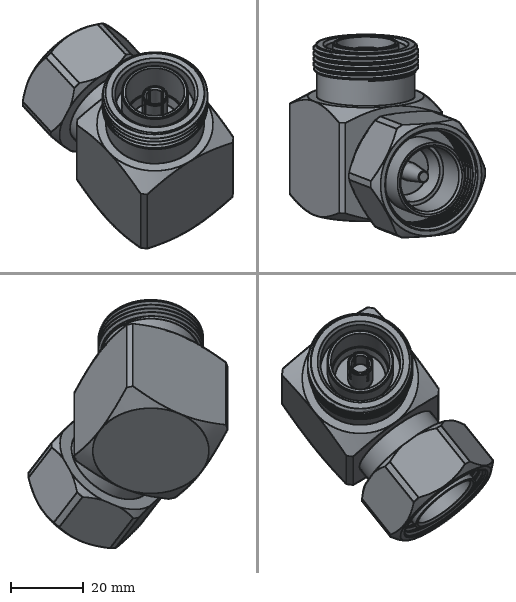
import cadquery as cq
import math


block_size = 32.0
block_half = block_size / 2
block_bottom = -15.5
block_top = block_bottom + block_size
block_edge_chamfer = 1.3
block_end_radius = block_half
block_end_angle = 30.0

thread_pitch = 1.5
thread_major_radius = 14.5
thread_minor_radius = 13.55
thread_base_width = 1.2
thread_crest_width = 0.15
thread_overlap = 0.1
thread_end_step = 0.05
thread_run_in = 1.2
thread_run_turns = 7

socket_top = 31.485
shell_top = 31.1
shell_thread_bottom = 23.45
shell_bore_radius = 11.0
shell_mouth_radius = 11.8
socket_floor = 23.2
sleeve_radius = 9.12
sleeve_edge_chamfer = 0.3
sleeve_bore_radius = 8.1
socket_step_depth = 11.5
socket_cone_radius = 7.75
cone_floor_radius = 6.95
socket_cone_depth = 3.0
contact_radius = 3.45
contact_bore_radius = 2.45
contact_mouth_radius = 3.05
contact_mouth_depth = 0.4
contact_recess = 1.9
contact_bore_depth = 8.0
contact_slot_width = 0.55
contact_slot_depth = 7.0

nut_face = -38.86
nut_length = 16.5
nut_back = nut_face + nut_length
nut_across_flats = 31.75
nut_corner_radius = 17.79
nut_front_radius = 15.7
nut_front_bevel = 1.78
nut_back_radius = 16.1
nut_back_bevel = 1.68
nut_bore_radius = 13.5
nut_mouth_radius = 14.35
nut_bore_depth = 9.05
nut_thread_length = 8.5
nut_thread_start_angle = 40.0
collar_radius = 12.5

plug_recess = 0.1
plug_radius = 10.38
plug_mouth_radius = 9.71
plug_bore_radius = 9.07
plug_mouth_depth = 0.65
plug_step_depth = 10.0
plug_cone_radius = 7.97
plug_cone_depth = 5.0
pin_radius = 2.55
pin_tip_radius = 1.57
pin_tip_chamfer = 0.17
pin_recess = 4.4
pin_taper_length = 8.0


def turned(points):
    """Solid of revolution about Z from (radius, z) points."""
    return cq.Workplane("XZ").polyline(points).close().revolve(360, (0, 0), (0, 1))


def cylinder(radius, bottom, top):
    """Cylinder on the Z axis between two heights."""
    return cq.Workplane("XY").workplane(offset=bottom).circle(radius).extrude(top - bottom)


def to_plug_axis(shape):
    """Turn a shape built upward along Z so it points outward along -X."""
    return shape.rotate((0, 0, 0), (0, 1, 0), -90)


def helical_thread(base_radius, tip_radius, bottom, length):
    """Right-handed helical bar whose profile narrows from base_radius to tip_radius."""
    half_base = thread_base_width / 2
    half_crest = thread_crest_width / 2
    helix = cq.Wire.makeHelix(thread_pitch, length, thread_minor_radius)
    bar = (
        cq.Workplane("XZ")
        .polyline([
            (base_radius, -half_base),
            (tip_radius, -half_crest),
            (tip_radius, half_crest),
            (base_radius, half_base),
        ])
        .close()
        .sweep(cq.Workplane(helix), isFrenet=True)
    )
    return bar.translate((0, 0, bottom))


def body_block():
    """Block with chamfered upright edges and conically turned top and bottom corners."""
    block = (
        cq.Workplane("XY")
        .workplane(offset=block_bottom)
        .rect(block_size, block_size)
        .extrude(block_size)
        .edges("|Z")
        .chamfer(block_edge_chamfer)
    )
    outer_radius = block_half * math.sqrt(2)
    drop = (outer_radius - block_end_radius) * math.tan(math.radians(block_end_angle))
    envelope = turned([
        (0, block_bottom),
        (block_end_radius, block_bottom),
        (outer_radius, block_bottom + drop),
        (outer_radius, block_top - drop),
        (block_end_radius, block_top),
        (0, block_top),
    ])
    return block.intersect(envelope)


def socket_shell():
    """Neck with the external thread, bored out down to the annular floor."""
    chamfer_start = thread_minor_radius + thread_end_step
    chamfer_outer = thread_major_radius + thread_end_step
    height = chamfer_outer - chamfer_start
    neck = cylinder(thread_minor_radius, block_top, shell_top)
    ridge = helical_thread(
        thread_minor_radius - thread_overlap,
        thread_major_radius,
        shell_thread_bottom - thread_run_in,
        thread_run_turns * thread_pitch,
    )
    envelope = turned([
        (0, shell_thread_bottom),
        (chamfer_start, shell_thread_bottom),
        (chamfer_outer, shell_thread_bottom + height),
        (chamfer_outer, shell_top - height),
        (chamfer_start, shell_top),
        (0, shell_top),
    ])
    mouth_depth = shell_mouth_radius - shell_bore_radius
    bore = turned([
        (0, socket_floor),
        (shell_bore_radius, socket_floor),
        (shell_bore_radius, shell_top - mouth_depth),
        (shell_mouth_radius, shell_top),
        (0, shell_top),
    ])
    return neck.union(ridge.intersect(envelope)).cut(bore)


def socket_sleeve():
    """Inner sleeve standing on the annular floor."""
    return cylinder(sleeve_radius, block_top, socket_top).faces(">Z").chamfer(sleeve_edge_chamfer)


def socket_cavity():
    """Hollow of the inner sleeve: straight bore, narrow step, then a taper to the floor."""
    step = socket_top - socket_step_depth
    floor = step - socket_cone_depth
    return turned([
        (0, floor),
        (cone_floor_radius, floor),
        (socket_cone_radius, step),
        (sleeve_bore_radius, step),
        (sleeve_bore_radius, socket_top),
        (0, socket_top),
    ])


def socket_contact():
    """Slotted tubular centre contact."""
    top = socket_top - contact_recess
    contact = cylinder(contact_radius, block_top, top)
    contact = (
        contact.faces(">Z").workplane()
        .circle(contact_bore_radius).cutBlind(-contact_bore_depth)
    )
    mouth = turned([
        (0, top - contact_mouth_depth),
        (contact_bore_radius, top - contact_mouth_depth),
        (contact_mouth_radius, top),
        (0, top),
    ])
    contact = contact.cut(mouth)
    for angle in (0, 90):
        slot = (
            cq.Workplane("XY")
            .workplane(offset=top - contact_slot_depth)
            .rect(2 * contact_radius, contact_slot_width)
            .extrude(contact_slot_depth)
            .rotate((0, 0, 0), (0, 0, 1), angle)
        )
        contact = contact.cut(slot)
    return contact


def hex_nut():
    """Hex nut with bevelled ends, trimmed corners and a threaded cavity."""
    front = -nut_face
    back = -nut_back
    hexagon = (
        cq.Workplane("XY")
        .workplane(offset=back)
        .polygon(6, nut_across_flats / math.cos(math.pi / 6))
        .extrude(nut_length)
        .rotate((0, 0, 0), (0, 0, 1), 90)
    )
    envelope = turned([
        (0, back),
        (nut_back_radius, back),
        (nut_corner_radius, back + nut_back_bevel),
        (nut_corner_radius, front - nut_front_bevel),
        (nut_front_radius, front),
        (0, front),
    ])
    mouth_depth = nut_mouth_radius - nut_bore_radius
    cavity = turned([
        (0, front - nut_bore_depth),
        (nut_bore_radius, front - nut_bore_depth),
        (nut_bore_radius, front - mouth_depth),
        (nut_mouth_radius, front),
        (0, front),
    ])
    groove = helical_thread(
        nut_bore_radius - thread_overlap,
        thread_major_radius,
        front - nut_thread_length,
        thread_run_turns * thread_pitch,
    ).rotate((0, 0, 0), (0, 0, 1), nut_thread_start_angle)
    return hexagon.intersect(envelope).cut(cavity).cut(groove)


def plug_end():
    """Nut, collar and plug joined along Z, then turned to point along -X."""
    tip = -nut_face - plug_recess
    step = tip - plug_step_depth
    floor = step - plug_cone_depth
    collar = cylinder(collar_radius, block_half, -nut_back)
    tube = cylinder(plug_radius, -nut_back, tip)
    bore = turned([
        (0, floor),
        (cone_floor_radius, floor),
        (plug_cone_radius, step),
        (plug_bore_radius, step),
        (plug_bore_radius, tip - plug_mouth_depth),
        (plug_mouth_radius, tip),
        (0, tip),
    ])
    pin_end = -nut_face - pin_recess
    pin = turned([
        (0, floor),
        (pin_radius, floor),
        (pin_radius, pin_end - pin_taper_length),
        (pin_tip_radius, pin_end - pin_tip_chamfer),
        (pin_tip_radius - pin_tip_chamfer, pin_end),
        (0, pin_end),
    ])
    return to_plug_axis(hex_nut().union(collar).union(tube).cut(bore).union(pin))


socket = socket_shell().union(socket_sleeve()).cut(socket_cavity()).union(socket_contact())
result = body_block().union(socket).union(plug_end())